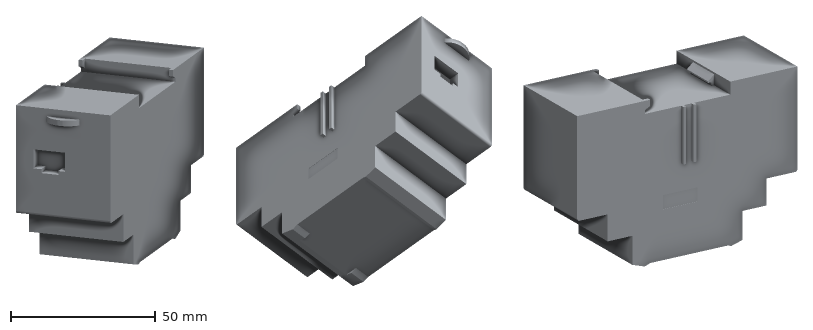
import cadquery as cq
import math

width = 35.0
length = 90.0
height = 61.5

shoulder_z = 22.5
upper_step_front, upper_step_rear = 12.55, 77.5
upper_step_z = 12.5
lower_step_front, lower_step_rear = 22.4, 67.5
base_edge_z = 1.7
base_z = 0.8
front_ridge_y, front_ridge_z = 27.0, 0.4
front_ridge_end = 28.5
rear_ridge_y = 62.4
rear_ridge_end = 60.1
ridge_gap_margin = 6.0
shoulder_radius = 0.9

channel_floor_z = height - 4.8
channel_front, channel_rear = 27.4, 62.4
lip_width = 1.5
lip_reach = 2.2
lip_edge_z = height - 2.3
lip_root_z = height - 3.4

catch_left = 10.5
catch_width = 13.85
catch_reach = 2.5
catch_neck = 1.1
catch_top_z = height - 0.7
catch_tip_z = height - 2.9
catch_under_z = height - 3.4

rib_height = 1.5
rib_thickness = 1.1
rib_starts = (42.2, 46.4)
rib_bottom_z = 35.3

panel_y, panel_z = 40.8, 19.7
panel_length, panel_height = 14.0, 5.3
panel_depth = 0.1

socket_left, socket_right = 6.5, 18.2
socket_bottom, socket_top = 39.4, 46.3
key_left, key_right = 9.4, 15.7
key_bottom = 38.0
socket_depth = 4.1

wheel_center_x = 17.5
wheel_chord = 12.3
wheel_reach = 3.0
wheel_flat = 1.95
wheel_bottom = channel_floor_z
wheel_thickness = 2.0


def block(x, y, z):
    """Box spanning the given (start, end) pairs."""
    size = [end - start for start, end in (x, y, z)]
    return cq.Workplane("XY").box(*size, centered=False).translate((x[0], y[0], z[0]))


def side_prism(points, start, thickness):
    """Y-Z outline extruded along +X from the given start."""
    return cq.Workplane("YZ", origin=(start, 0, 0)).polyline(points).close().extrude(thickness)


def make_housing():
    outline = [
        (0, height),
        (0, shoulder_z),
        (upper_step_front, shoulder_z),
        (upper_step_front, upper_step_z),
        (lower_step_front, upper_step_z),
        (lower_step_front, base_edge_z),
        (front_ridge_y, front_ridge_z),
        (front_ridge_end, base_z),
        (rear_ridge_end, base_z),
        (rear_ridge_y, 0),
        (lower_step_rear, base_edge_z),
        (lower_step_rear, upper_step_z),
        (upper_step_rear, upper_step_z),
        (upper_step_rear, shoulder_z),
        (length, shoulder_z),
        (length, height),
        (channel_rear, height),
        (channel_rear, channel_floor_z),
        (channel_front, channel_floor_z),
        (channel_front, height),
    ]
    housing = side_prism(outline, 0, width)
    for y in (0, length):
        corner = cq.selectors.NearestToPointSelector((width / 2, y, shoulder_z))
        housing = housing.edges(corner).fillet(shoulder_radius)
    ridge_gap = block(
        (ridge_gap_margin, width - ridge_gap_margin),
        (rear_ridge_end, lower_step_rear),
        (0, base_z),
    )
    return housing.cut(ridge_gap)


def make_lip(start):
    outline = [
        (channel_rear, height),
        (channel_rear - lip_reach, height),
        (channel_rear - lip_reach, lip_edge_z),
        (channel_rear, lip_root_z),
    ]
    return side_prism(outline, start, lip_width)


def make_catch():
    outline = [
        (channel_front, catch_top_z),
        (channel_front + catch_reach, catch_tip_z),
        (channel_front + catch_reach, catch_under_z),
        (channel_front + catch_neck, catch_under_z),
        (channel_front + catch_neck, channel_floor_z),
        (channel_front, channel_floor_z),
    ]
    return side_prism(outline, catch_left, catch_width)


def make_rib(y):
    return block((-rib_height, 0), (y, y + rib_thickness), (rib_bottom_z, channel_floor_z))


def make_socket():
    depth = (0, socket_depth)
    opening = block((socket_left, socket_right), depth, (socket_bottom, socket_top))
    key = block((key_left, key_right), depth, (key_bottom, socket_bottom))
    return opening.union(key)


def make_wheel():
    """Disc segment whose rim has a short flat at its outermost point."""
    half_chord = wheel_chord / 2
    half_flat = wheel_flat / 2
    center_y = (half_chord**2 - half_flat**2 - wheel_reach**2) / (2 * wheel_reach)
    radius = math.hypot(half_chord, center_y)
    start_angle = math.atan2(center_y, half_chord)
    end_angle = math.acos(half_flat / radius)
    middle_angle = (start_angle + end_angle) / 2
    arc_x = radius * math.cos(middle_angle)
    arc_y = center_y - radius * math.sin(middle_angle)
    return (
        cq.Workplane("XY", origin=(wheel_center_x, 0, wheel_bottom))
        .moveTo(-half_chord, 0)
        .threePointArc((-arc_x, arc_y), (-half_flat, -wheel_reach))
        .lineTo(half_flat, -wheel_reach)
        .threePointArc((arc_x, arc_y), (half_chord, 0))
        .close()
        .extrude(wheel_thickness)
    )


result = make_housing()
for lip_start in (0, width - lip_width):
    result = result.union(make_lip(lip_start))
result = result.union(make_catch()).union(make_wheel())
for rib_y in rib_starts:
    result = result.union(make_rib(rib_y))
panel = block(
    (0, panel_depth),
    (panel_y, panel_y + panel_length),
    (panel_z, panel_z + panel_height),
)
result = result.cut(panel).cut(make_socket())